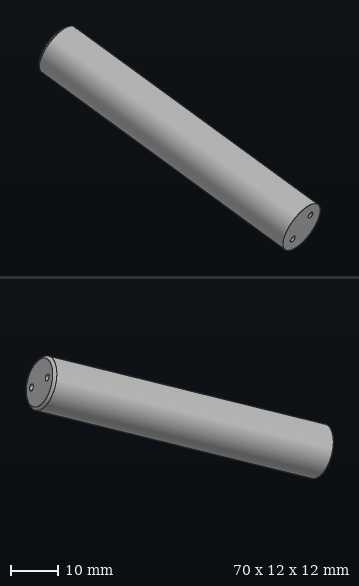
import cadquery as cq
import math

length = 70.0
diameter = 12.0
end_chamfer = 0.6

channel_diameter = 1.5
channel_spacing = 6.3
surface_helix_angle = 30.0

helix_pitch = math.pi * diameter / math.tan(math.radians(surface_helix_angle))
twist_angle = 360 * length / helix_pitch


def make_rod():
    """Plain rod with a chamfer around its -X end."""
    rod = cq.Workplane("YZ").circle(diameter / 2).extrude(length)
    return rod.faces("<X").edges().chamfer(end_chamfer)


def make_channel(y):
    """Right-handed helical channel that starts at the given Y on the -X end."""
    section = cq.Workplane("YZ").center(y, 0).circle(channel_diameter / 2)
    return section.center(-y, 0).twistExtrude(length, twist_angle)


result = make_rod()
for side in (-1, 1):
    result = result.cut(make_channel(side * channel_spacing / 2))